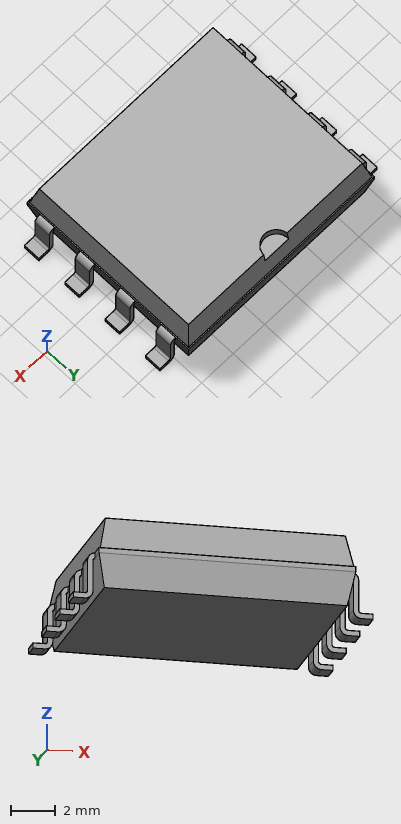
import cadquery as cq

overall_length = 13.8
body_width = 10.15
overall_height = 3.68

body_length = 11.81
body_bottom = 0.39
band_thickness = 0.25
band_top = 2.15
band_bottom = band_top - band_thickness
ledge = 0.07
wall_taper = 0.32

notch_radius = 0.75
notch_depth = 0.5
notch_center_y = 4.76

leads_per_side = 4
lead_pitch = 2.54
lead_width = 0.91
lead_thickness = band_thickness
inner_bend_radius = 0.12
outer_bend_radius = inner_bend_radius + lead_thickness
shank_outer_x = 6.24
lead_embed = 0.55


def frustum(start_z, end_z, inset):
    """Rectangular block whose walls lean inward from start_z to end_z."""
    length = body_length - 2 * inset
    width = body_width - 2 * inset
    return (
        cq.Workplane("XY", origin=(0, 0, start_z))
        .rect(length, width)
        .workplane(offset=end_z - start_z)
        .rect(length - 2 * wall_taper, width - 2 * wall_taper)
        .loft(ruled=True)
    )


def make_body():
    band = (
        cq.Workplane("XY", origin=(0, 0, band_bottom))
        .rect(body_length, body_width)
        .extrude(band_thickness)
    )
    upper = frustum(band_top, overall_height, ledge)
    lower = frustum(band_bottom, body_bottom, 0)
    notch = (
        cq.Workplane("XY", origin=(0, notch_center_y, overall_height - notch_depth))
        .circle(notch_radius)
        .extrude(notch_depth)
    )
    return band.union(lower).union(upper.cut(notch))


def make_lead():
    """Lead on the +X side, centred on Y = 0, with its foot resting on Z = 0."""
    tip_x = overall_length / 2
    root_x = body_length / 2 - lead_embed
    shank_inner_x = shank_outer_x - lead_thickness
    upper_bend_x = shank_outer_x - outer_bend_radius
    upper_bend_z = band_top - outer_bend_radius
    lower_bend_x = shank_inner_x + outer_bend_radius
    lower_bend_z = outer_bend_radius
    profile = (
        cq.Workplane("XZ")
        .moveTo(root_x, band_top)
        .lineTo(upper_bend_x, band_top)
        .tangentArcPoint((shank_outer_x, upper_bend_z), relative=False)
        .lineTo(shank_outer_x, lower_bend_z)
        .tangentArcPoint((lower_bend_x, lead_thickness), relative=False)
        .lineTo(tip_x, lead_thickness)
        .lineTo(tip_x, 0)
        .lineTo(lower_bend_x, 0)
        .tangentArcPoint((shank_inner_x, lower_bend_z), relative=False)
        .lineTo(shank_inner_x, upper_bend_z)
        .tangentArcPoint((upper_bend_x, band_bottom), relative=False)
        .lineTo(root_x, band_bottom)
        .close()
    )
    return profile.extrude(lead_width / 2, both=True)


result = make_body()
right_lead = make_lead()
left_lead = right_lead.mirror("YZ")
for index in range(leads_per_side):
    lead_y = (index - (leads_per_side - 1) / 2) * lead_pitch
    for lead in (right_lead, left_lead):
        result = result.union(lead.translate((0, lead_y, 0)))